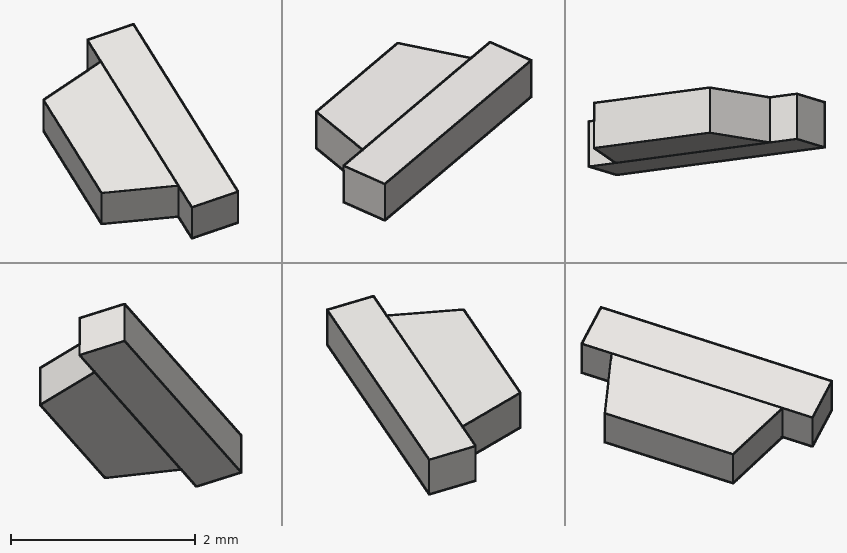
import cadquery as cq

height = 0.5
total_depth = 1.35
base_width = 2.7
base_depth = 0.55
lens_root_width = 2.0
lens_tip_width = 1.5

lens_depth = total_depth - base_depth


def make_base():
    """Rectangular bar behind the lens."""
    return cq.Workplane("XY").box(base_width, base_depth, height, centered=(True, False, False))


def make_lens():
    """Trapezoidal prism, widest where it touches the base."""
    outline = [
        (-lens_root_width / 2, 0),
        (-lens_tip_width / 2, -lens_depth),
        (lens_tip_width / 2, -lens_depth),
        (lens_root_width / 2, 0),
    ]
    return cq.Workplane("XY").polyline(outline).close().extrude(height)


base = make_base()
lens = make_lens()

result = cq.Compound.makeCompound([base.val(), lens.val()])